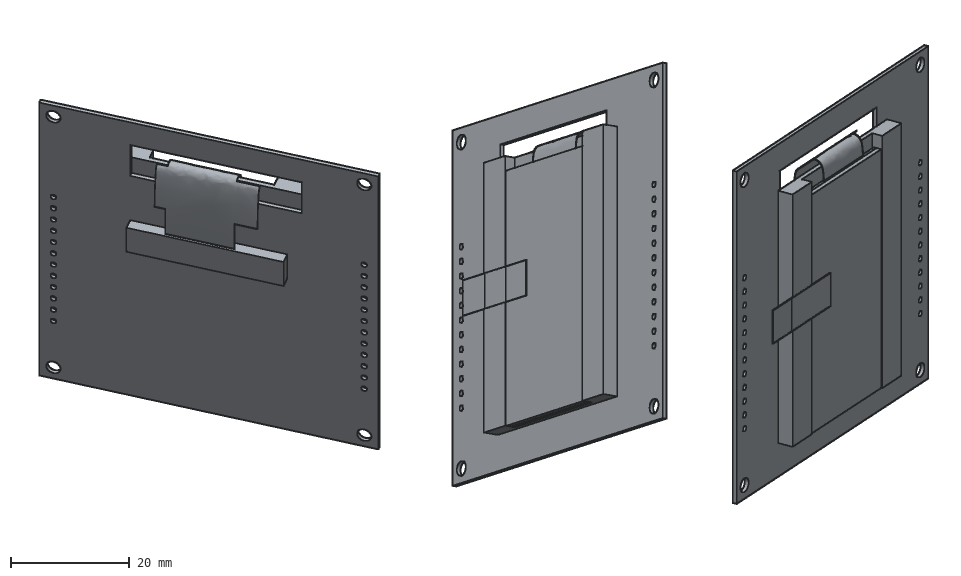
import cadquery as cq

BOARD_WIDTH = 60.0
BOARD_HEIGHT = 61.5
BOARD_THICKNESS = 0.8
CORNER_HOLE_DIAMETER = 2.5
HOLE_COLUMN_X = 27.5
CORNER_HOLE_Z = 28.2
PIN_HOLE_DIAMETER = 1.0
PIN_HOLE_COUNT = 12
PIN_ROW_TOP = 10.15
PIN_ROW_LENGTH = 27.9
WINDOW_LEFT = -13.9
WINDOW_RIGHT = 16.4
WINDOW_BOTTOM = 18.7
WINDOW_TOP = 25.65

CONNECTOR_WIDTH = 27.8
CONNECTOR_DEPTH = 2.0
CONNECTOR_BOTTOM = 3.3
CONNECTOR_TOP = 8.75

FRAME_WIDTH = 34.1
FRAME_DEPTH = 2.9
FRAME_BOTTOM = -24.5
FRAME_TOP = 22.2
CHANNEL_WIDTH = 22.0
CHANNEL_FLOOR_Y = 0.9

PLATE_TOP = 19.7
FRONT_PLATE_FRONT_Y = 1.2
REAR_PLATE_FRONT_Y = 1.8

TAIL_THICKNESS = 0.2
TAIL_LEFT = 5.1
TAIL_RIGHT = 23.05
TAIL_HEIGHT = 6.15

CABLE_THICKNESS = 0.1
CABLE_LEFT = -7.2
CABLE_RIGHT = 5.05
CABLE_WIDE_WIDTH = 18.2
CABLE_WIDE_BOTTOM = 14.3
CABLE_WIDE_START_Y = -1.0
CABLE_END_Y = -2.3
CABLE_BEND = [
    (1.35, 21.4),
    (0.85, 22.7),
    (-0.25, 23.25),
    (-1.2, 22.7),
    (-1.8, 20.9),
    (-2.1, 18.3),
    (CABLE_END_Y, CABLE_WIDE_BOTTOM),
]

tail_front_y = FRAME_DEPTH - TAIL_THICKNESS
connector_front_y = -BOARD_THICKNESS - CONNECTOR_DEPTH


def block(x_range, y_range, z_range):
    """Box given by its lower and upper limits along each axis."""
    limits = (x_range, y_range, z_range)
    lengths = [upper - lower for lower, upper in limits]
    corner = cq.Vector(*[lower for lower, upper in limits])
    return cq.Workplane("XY").box(*lengths, centered=False).translate(corner)


def centered(width):
    """Limits of a span centered on zero."""
    return (-width / 2, width / 2)


def drill(body, points, diameter):
    """Cut round holes along Y through the board at (x, z) points."""
    drills = (
        cq.Workplane("XZ").pushPoints(points).circle(diameter / 2).extrude(BOARD_THICKNESS)
    )
    return body.cut(drills)


def make_board():
    board = block(centered(BOARD_WIDTH), (-BOARD_THICKNESS, 0), centered(BOARD_HEIGHT))
    window = block(
        (WINDOW_LEFT, WINDOW_RIGHT), (-BOARD_THICKNESS, 0), (WINDOW_BOTTOM, WINDOW_TOP)
    )
    sides = (-HOLE_COLUMN_X, HOLE_COLUMN_X)
    corners = [(x, z) for x in sides for z in (-CORNER_HOLE_Z, CORNER_HOLE_Z)]
    pitch = PIN_ROW_LENGTH / (PIN_HOLE_COUNT - 1)
    pins = [(x, PIN_ROW_TOP - i * pitch) for x in sides for i in range(PIN_HOLE_COUNT)]
    board = drill(board.cut(window), corners, CORNER_HOLE_DIAMETER)
    return drill(board, pins, PIN_HOLE_DIAMETER)


def make_connector():
    return block(
        centered(CONNECTOR_WIDTH),
        (connector_front_y, -BOARD_THICKNESS),
        (CONNECTOR_BOTTOM, CONNECTOR_TOP),
    )


def make_tail():
    return block(
        (TAIL_LEFT, TAIL_RIGHT), (tail_front_y, FRAME_DEPTH), centered(TAIL_HEIGHT)
    )


def make_frame(tail):
    frame = block(centered(FRAME_WIDTH), (0, FRAME_DEPTH), (FRAME_BOTTOM, FRAME_TOP))
    channel = block(
        centered(CHANNEL_WIDTH), (CHANNEL_FLOOR_Y, FRAME_DEPTH), (FRAME_BOTTOM, FRAME_TOP)
    )
    return frame.cut(channel).cut(tail)


def make_plate(front_y, back_y):
    return block(centered(CHANNEL_WIDTH), (front_y, back_y), (FRAME_BOTTOM, PLATE_TOP))


def make_cable():
    plate_middle_y = (FRONT_PLATE_FRONT_Y + REAR_PLATE_FRONT_Y) / 2
    start = (plate_middle_y, PLATE_TOP)
    end = (CABLE_END_Y, CONNECTOR_TOP)
    path = cq.Workplane("YZ").spline([start, *CABLE_BEND, end])
    ribbon = (
        cq.Workplane("XY", origin=(0, plate_middle_y, PLATE_TOP))
        .rect(CABLE_WIDE_WIDTH, CABLE_THICKNESS)
        .sweep(path)
    )
    narrow_zone = block(
        (CABLE_LEFT, CABLE_RIGHT), (connector_front_y, FRAME_DEPTH), (CONNECTOR_TOP, WINDOW_TOP)
    )
    wide_zone = block(
        centered(CABLE_WIDE_WIDTH),
        (connector_front_y, CABLE_WIDE_START_Y),
        (CABLE_WIDE_BOTTOM, WINDOW_TOP),
    )
    return ribbon.intersect(narrow_zone.union(wide_zone))


board = make_board()
connector = make_connector()
tail = make_tail()
frame = make_frame(tail)
front_plate = make_plate(FRONT_PLATE_FRONT_Y, REAR_PLATE_FRONT_Y)
rear_plate = make_plate(REAR_PLATE_FRONT_Y, tail_front_y)
cable = make_cable()

bodies = [board, connector, tail, frame, front_plate, rear_plate, cable]
result = cq.Compound.makeCompound([body.solids().val() for body in bodies])